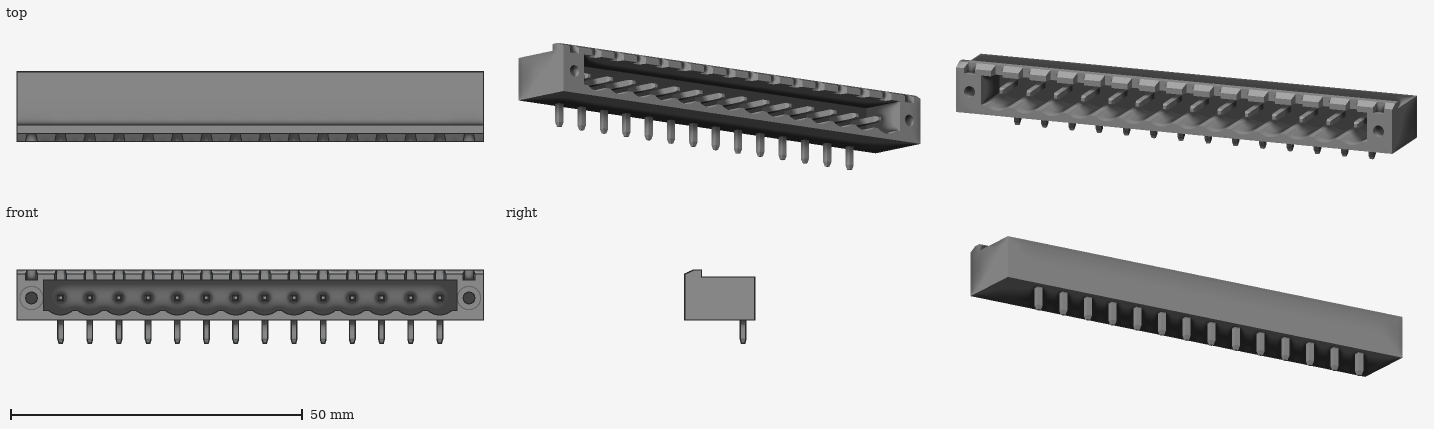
import cadquery as cq

POLES = 14
PITCH = 5.0
LENGTH = 80.0
DEPTH = 12.0
HEIGHT = 8.6
REAR_HEIGHT = 7.4
LIP_DEPTH = 2.9
BEVEL_DEPTH = 1.45
BEVEL_DROP = 0.7
FRONT_Y = -DEPTH / 2
REAR_Y = DEPTH / 2

CAVITY_LENGTH = 70.8
CAVITY_DEPTH = 9.0
CAVITY_ROOF_Z = 6.9
FLOOR_CREST_Z = 1.65
SCALLOP_DEPTH = 0.75
CREST_WIDTH = 0.95
SCALLOP_WIDTH = PITCH - CREST_WIDTH

NOTCH_FRONT_WIDTH = 2.05
NOTCH_REAR_WIDTH = 1.5

FLANGE_X = (POLES + 1) * PITCH / 2
INSERT_DIAMETER = 4.0
INSERT_BORE = 2.0
INSERT_DEPTH = 9.0

PIN_SIZE = 1.0
PIN_Z = 3.8
PIN_TAIL_Y = 4.0
PIN_TAIL_LENGTH = 4.0
PIN_TIP_Y = -4.0
PIN_TIP_SIZE = 0.6
PIN_TAPER_LENGTH = 0.75

POLE_XS = [(i - (POLES - 1) / 2) * PITCH for i in range(POLES)]
FLANGE_XS = [-FLANGE_X, FLANGE_X]


def front_plane(y):
    """Plane at the given Y, facing -Y, with local x along X and local y along Z."""
    return cq.Workplane("XZ", origin=(0, y, 0))


def make_housing():
    """Side profile with the raised, bevelled front lip, extruded along X."""
    return (
        cq.Workplane("YZ")
        .moveTo(FRONT_Y, 0)
        .lineTo(REAR_Y, 0)
        .lineTo(REAR_Y, REAR_HEIGHT)
        .lineTo(FRONT_Y + LIP_DEPTH, REAR_HEIGHT)
        .lineTo(FRONT_Y + LIP_DEPTH, HEIGHT)
        .lineTo(FRONT_Y + BEVEL_DEPTH, HEIGHT)
        .lineTo(FRONT_Y, HEIGHT - BEVEL_DROP)
        .close()
        .extrude(LENGTH / 2, both=True)
    )


def make_cavity():
    """Plug cavity whose floor dips in an arc under each pole."""
    half_length = CAVITY_LENGTH / 2
    outline = (
        front_plane(FRONT_Y)
        .moveTo(-half_length, CAVITY_ROOF_Z)
        .lineTo(-half_length, FLOOR_CREST_Z)
    )
    for x in POLE_XS:
        outline = outline.lineTo(x - SCALLOP_WIDTH / 2, FLOOR_CREST_Z).threePointArc(
            (x, FLOOR_CREST_Z - SCALLOP_DEPTH),
            (x + SCALLOP_WIDTH / 2, FLOOR_CREST_Z),
        )
    return (
        outline.lineTo(half_length, FLOOR_CREST_Z)
        .lineTo(half_length, CAVITY_ROOF_Z)
        .close()
        .extrude(-CAVITY_DEPTH)
    )


def make_notch(x):
    """Keying notch through the lip, narrowing from front to rear."""
    front_half = NOTCH_FRONT_WIDTH / 2
    rear_half = NOTCH_REAR_WIDTH / 2
    rear_y = FRONT_Y + BEVEL_DEPTH
    return (
        cq.Workplane("XY", origin=(x, 0, CAVITY_ROOF_Z))
        .moveTo(-front_half, FRONT_Y)
        .lineTo(front_half, FRONT_Y)
        .lineTo(rear_half, rear_y)
        .lineTo(-rear_half, rear_y)
        .close()
        .extrude(HEIGHT - CAVITY_ROOF_Z)
    )


def make_insert_cylinder(x, diameter):
    """Cylinder running back from the front face on a flange axis."""
    return front_plane(FRONT_Y).center(x, PIN_Z).circle(diameter / 2).extrude(-INSERT_DEPTH)


def make_square_pin(start, direction, length):
    """Square bar from start along direction, tapered at its far end."""
    straight_length = length - PIN_TAPER_LENGTH
    plane = cq.Plane(origin=start, xDir=(1, 0, 0), normal=direction)
    bar = cq.Workplane(plane).rect(PIN_SIZE, PIN_SIZE).extrude(straight_length)
    tip = (
        cq.Workplane(plane)
        .workplane(offset=straight_length)
        .rect(PIN_SIZE, PIN_SIZE)
        .workplane(offset=PIN_TAPER_LENGTH)
        .rect(PIN_TIP_SIZE, PIN_TIP_SIZE)
        .loft(ruled=True)
    )
    return bar.union(tip)


def make_contact(x):
    """Contact blade reaching forward into the cavity and solder tail below the housing."""
    corner = (x, PIN_TAIL_Y, PIN_Z)
    blade = make_square_pin(corner, (0, -1, 0), PIN_TAIL_Y - PIN_TIP_Y)
    tail = make_square_pin(corner, (0, 0, -1), PIN_Z + PIN_TAIL_LENGTH)
    return blade.union(tail)


result = make_housing().cut(make_cavity())
for notch_x in POLE_XS + FLANGE_XS:
    result = result.cut(make_notch(notch_x))
for pole_x in POLE_XS:
    result = result.union(make_contact(pole_x))

for flange_x in FLANGE_XS:
    body = make_insert_cylinder(flange_x, INSERT_DIAMETER)
    bore = make_insert_cylinder(flange_x, INSERT_BORE)
    result = result.cut(body, clean=False).union(body.cut(bore), clean=False)